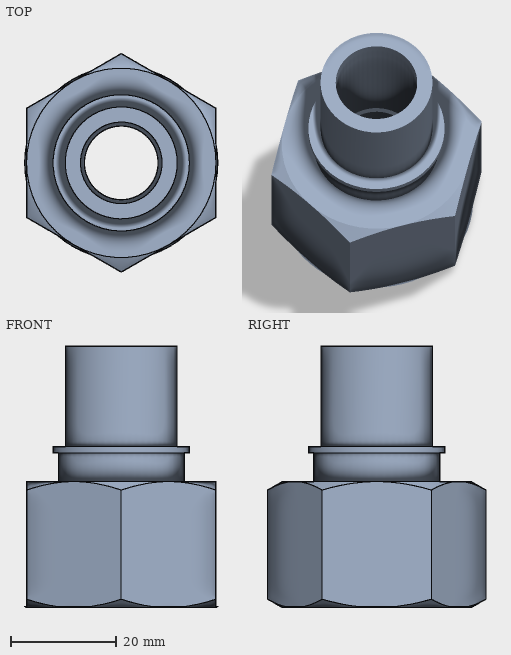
import cadquery as cq
import math

total_height = 49.75
nut_height = 24.0
collar_bottom = 29.45
collar_top = 30.65

corner_diameter = 41.6
flat_width = corner_diameter * math.cos(math.radians(30))
chamfer_slope = math.tan(math.radians(30))
rim_diameter = 36.75

neck_diameter = 24.0
collar_diameter = 25.9
tube_diameter = 21.3

tube_bore_diameter = 15.5
lower_bore_diameter = 14.0
bore_step_height = nut_height


def cylinder(diameter, bottom, top):
    return cq.Workplane("XY").workplane(offset=bottom).circle(diameter / 2).extrude(top - bottom)


def chamfer_envelope():
    """Revolved body whose conical ends cut the corners off the hexagon."""
    corner_radius = corner_diameter / 2
    face_radius = flat_width / 2
    chamfer_height = (corner_radius - face_radius) * chamfer_slope
    return (
        cq.Workplane("XZ")
        .lineTo(face_radius, 0)
        .lineTo(corner_radius, chamfer_height)
        .lineTo(corner_radius, nut_height - chamfer_height)
        .lineTo(face_radius, nut_height)
        .lineTo(0, nut_height)
        .close()
        .revolve(360, (0, 0, 0), (0, 1, 0))
    )


def make_rim():
    """Thin cone at the foot of the nut, standing slightly proud of the flats."""
    foot_radius = flat_width / 2
    rim_radius = rim_diameter / 2
    rim_height = (rim_radius - foot_radius) * chamfer_slope
    return (
        cq.Workplane("XZ")
        .lineTo(foot_radius, 0)
        .lineTo(rim_radius, rim_height)
        .lineTo(0, rim_height)
        .close()
        .revolve(360, (0, 0, 0), (0, 1, 0))
    )


def make_nut():
    hexagon = (
        cq.Workplane("XY")
        .polygon(6, corner_diameter)
        .extrude(nut_height)
        .rotate((0, 0, 0), (0, 0, 1), 30)
    )
    return hexagon.intersect(chamfer_envelope()).union(make_rim())


body = (
    make_nut()
    .union(cylinder(neck_diameter, nut_height, collar_bottom))
    .union(cylinder(collar_diameter, collar_bottom, collar_top))
    .union(cylinder(tube_diameter, collar_top, total_height))
)
lower_bore = cylinder(lower_bore_diameter, 0, bore_step_height)
tube_bore = cylinder(tube_bore_diameter, bore_step_height, total_height)

result = body.cut(lower_bore).cut(tube_bore)